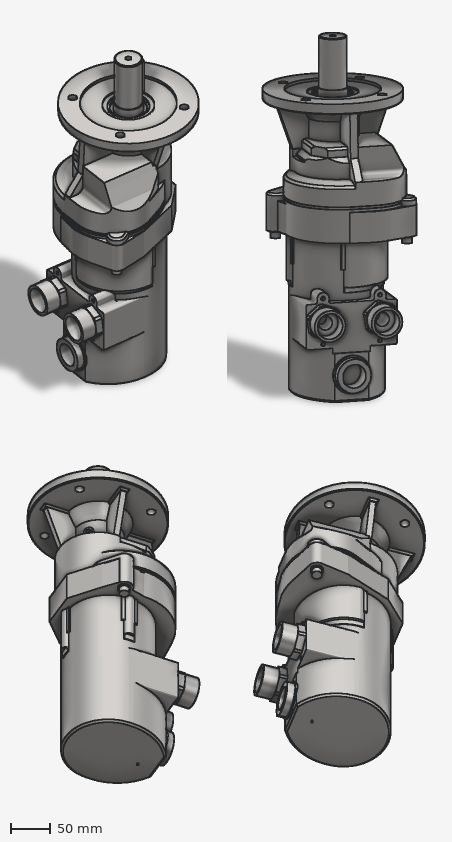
import cadquery as cq
import math


overlap = 4.5

total_height = 462.5
shaft_radius = 18.0
shaft_chamfer = 1.5
center_hole_diameter = 8.0
center_hole_depth = 14.0
key_width = 10.0
key_end_fillet = 4.0
key_bottom = 402.0
key_top = 452.7
key_outer_y = 21.7
flange_diameter = 180.0
flange_radius = flange_diameter / 2
flange_top = 393.0
flange_bottom = 379.0
flange_edge_chamfer = 1.5
flange_hole_diameter = 11.5
flange_hole_offset = 51.0
pilot_diameter = 124.0
pilot_depth = 3.5
seal_bore_diameter = 66.5
seal_bore_depth = 5.5
seal_groove_diameter = 54.0
seal_groove_depth = 7.5
seal_lip_diameter = 48.0
seal_lip_depth = 10.0
shaft_collar_diameter = 39.0
shaft_collar_height = 2.0
circlip_gap_width = 12.0
circlip_gap_end = 27.7

neck_radius = 33.8
neck_cone_bottom = 363.5
neck_cone_radius = 37.5
neck_cone_top_radius = 45.0
neck_blend_bottom = 357.0
rib_width = 8.5
rib_foot_radius = 54.5
rib_foot_z = 318.5
rib_head_radius = 76.0
front_rib_width = 10.0
front_rib_head = 76.8
front_rib_waist = 80.0
front_rib_foot = 101.0
rib_flare = 3.0
rib_flare_chamfer = 2.55
plug_z = 336.0
plug_direction = 135.0
plug_diameter = 13.0
plug_hole_diameter = 6.5
plug_reach = 37.5
plug_hole_depth = 4.5

drum_radius = 55.0
drum_back_top = 318.0
drum_front_top = 309.0
drum_shift = 20.5
wide_drum_radius = 71.5
wide_drum_y = -30.5
wide_drum_edge_z = 284.0
wide_drum_rim_z = 287.5
wide_drum_rim_width = 3.2
wide_drum_top = 291.0
wide_drum_slope_width = 15.0
gear_case_x = 27.0
gear_case_y = -47.0
case_reach = 138.7
gear_case_top = 292.3
groove_bottom = 257.0
groove_top = 260.5
groove_depth = 1.15
gear_box_front = -80.0
gear_box_shoulder = 60.5
gear_box_shoulder_z = 323.3
gear_box_bend = 71.0
gear_box_bend_z = 303.5
gear_box_top = 333.0
gear_box_top_x = 55.5
gear_box_foot_fillet = 10.0
bump_top = 331.0
bump_back = -5.0
bump_front = -68.0
bump_left = -42.5
bump_corner_x = -27.0
bump_corner_y = -47.5
bump_flare_z = 318.5
bump_flare = 7.5
bump_flare_chamfer = 7.0
bump_edge = 3.2

joint_bottom = 213.0
joint_top = 253.5
joint_back = 56.5
joint_back_half_width = 25.5
joint_front_left = (-7.5, -102.0)
joint_front_right = (21.7, -105.5)
joint_corner_middle = (35.0, -104.0)
joint_corner_end = (48.0, -100.5)
joint_lug_front = (81.5, -87.0)
joint_lug_middle = (87.5, -81.5)
joint_lug_back = (89.0, -74.0)
joint_right_waist = (82.0, -36.0)
joint_right_shoulder = (58.0, 26.0)
joint_left_shoulder = (-64.7, 26.0)
joint_left_lug_back = (-83.2, 10.0)
lug_radius = 12.0
lug_top = 263.0
lug_chamfer = 3.0
left_lug = (-76.5, 0.0)
right_lug = (76.5, -76.0)
left_lug_root = (-48.5, 7.0)
right_lug_root = (50.0, -52.5)
lug_root_radius = 23.0
bolt_diameter = 13.0
bolt_bottom = 203.0
washer_diameter = 16.0
washer_thickness = 2.0

motor_y = -15.0
motor_radius = 60.5
motor_bottom = 1.6
motor_edge_chamfer = 3.0
drain_tip_diameter = 2.5
drain_tip_x = 4.5
drain_tip_y = -58.5
bar_radius = 66.0
bar_half_width = 8.0
bar_bottom = 150.0
bar_taper_bottom = 142.5
bar_tip_lower_height = 1.0
bar_tip_upper_height = 2.5
side_strip_radius = 63.0
side_strip_half_width = 11.0
side_strip_bottom = 173.0

block_face = -84.5
block_top = 132.3
block_bottom = 73.0
block_fillet = 3.0
ear_radius = 8.0
ear_back = -55.0
ear_back_fillet = 7.0
ear_root_fillet = 3.2
port_x = 38.0
port_z = 109.0
screw_spacing = 59.5
screw_hole_diameter = 5.0
screw_hole_depth = 9.2
hex_across_flats = 41.5
hex_round_diameter = 46.0
hex_end = -95.3
hex_turn = 20.0
tube_diameter = 41.0
tube_bore = 33.5
tube_passage = 18.0
overall_depth = 206.0
tube_end = flange_radius - overall_depth
pad_half_width = 25.0
pad_flat_half_width = 22.5
pad_face = -86.0
pad_top = 66.0
web_curve_start = -20.5
web_middle_x = 51.5
web_middle_y = -56.0
cable_port_z = 37.5
cable_washer_diameter = 50.0
cable_washer_face = -87.5
cable_boss_diameter = 45.0
cable_bore = 30.5
cable_end = -97.5


def cylinder(x, y, bottom, top, radius):
    """Upright cylinder between two heights."""
    return cq.Workplane("XY", origin=(x, y, bottom)).circle(radius).extrude(top - bottom)


def front_cylinder(x, z, back, front, diameter):
    """Cylinder along -Y, from the back depth to the front depth."""
    return cq.Workplane("XZ", origin=(x, back, z)).circle(diameter / 2).extrude(back - front)


def box(x_min, x_max, y_min, y_max, bottom, top):
    """Box from its six limits."""
    size = (x_max - x_min, y_max - y_min, top - bottom)
    return cq.Workplane("XY").box(*size, centered=False).translate((x_min, y_min, bottom))


def belt(first, first_radius, second, second_radius, bottom, top):
    """Two upright cylinders joined by their outer tangent planes."""
    dx = second[0] - first[0]
    dy = second[1] - first[1]
    direction = math.atan2(dy, dx)
    spread = math.acos((first_radius - second_radius) / math.hypot(dx, dy))

    def tangent_point(center, radius, angle):
        return (center[0] + radius * math.cos(angle), center[1] + radius * math.sin(angle))

    web = (
        cq.Workplane("XY", origin=(0, 0, bottom))
        .polyline([
            tangent_point(first, first_radius, direction + spread),
            tangent_point(second, second_radius, direction + spread),
            tangent_point(second, second_radius, direction - spread),
            tangent_point(first, first_radius, direction - spread),
        ])
        .close()
        .extrude(top - bottom)
    )
    ends = cylinder(*first, bottom, top, first_radius).union(cylinder(*second, bottom, top, second_radius))
    return ends.union(web)


def make_shaft():
    shaft = cylinder(0, 0, flange_bottom, total_height, shaft_radius).faces(">Z").chamfer(shaft_chamfer)
    collar_top = flange_top + shaft_collar_height
    collar = cylinder(0, 0, flange_bottom, collar_top, shaft_collar_diameter / 2)
    key = box(-key_width / 2, key_width / 2, 0, key_outer_y, key_bottom, key_top)
    key = key.edges("|Y").fillet(key_end_fillet)
    hole_bottom = total_height - center_hole_depth
    hole = cylinder(0, 0, hole_bottom, total_height, center_hole_diameter / 2)
    return shaft.union(collar).union(key).cut(hole)


def make_flange():
    flange = cylinder(0, 0, flange_bottom, flange_top, flange_radius)
    flange = flange.faces("<Z").edges().chamfer(flange_edge_chamfer)
    for diameter, depth in (
        (pilot_diameter, pilot_depth),
        (seal_bore_diameter, seal_bore_depth),
        (seal_groove_diameter, seal_groove_depth),
        (seal_lip_diameter, seal_lip_depth),
    ):
        flange = flange.cut(cylinder(0, 0, flange_top - depth, flange_top, diameter / 2))
    gap = box(
        -circlip_gap_width / 2, circlip_gap_width / 2,
        -circlip_gap_end, 0,
        flange_top - seal_groove_depth, flange_top,
    )
    holes = (
        cq.Workplane("XY", origin=(0, 0, flange_bottom))
        .rect(2 * flange_hole_offset, 2 * flange_hole_offset, forConstruction=True)
        .vertices()
        .circle(flange_hole_diameter / 2)
        .extrude(flange_top - flange_bottom)
    )
    return flange.cut(gap).cut(holes)


def make_neck():
    neck = (
        cq.Workplane("XZ")
        .polyline([
            (0, rib_foot_z - overlap),
            (neck_radius, rib_foot_z - overlap),
            (neck_radius, neck_blend_bottom),
            (neck_cone_radius, neck_cone_bottom),
            (neck_cone_top_radius, flange_bottom),
            (0, flange_bottom),
        ])
        .close()
        .revolve(360, (0, 0, 0), (0, 1, 0))
    )

    def plug_cylinder(reach, diameter):
        rod = cq.Workplane("YZ", origin=(0, 0, plug_z)).circle(diameter / 2).extrude(reach)
        return rod.rotate((0, 0, 0), (0, 0, 1), plug_direction)

    plug = plug_cylinder(plug_reach, plug_diameter)
    recess = plug_cylinder(plug_reach, plug_hole_diameter)
    recess = recess.cut(plug_cylinder(plug_reach - plug_hole_depth, plug_diameter))
    return neck.union(plug).cut(recess)


def make_ribs():
    """Three tapering ribs under the flange and a stepped one at the front."""
    profile = [
        (0, rib_foot_z),
        (rib_foot_radius, rib_foot_z),
        (rib_head_radius, flange_bottom),
        (0, flange_bottom),
    ]
    rib = cq.Workplane("XZ").polyline(profile).close().extrude(rib_width / 2, both=True)
    half_flare = rib_width / 2 + rib_flare
    flare_bottom = flange_bottom - rib_flare
    flare = box(0, rib_head_radius + rib_flare, -half_flare, half_flare, flare_bottom, flange_bottom)
    rib = rib.union(flare.faces("<Z").edges().chamfer(rib_flare_chamfer))
    ribs = rib
    for angle in (90, 180):
        ribs = ribs.union(rib.rotate((0, 0, 0), (0, 0, 1), angle))
    front_rib = (
        cq.Workplane("YZ")
        .polyline([
            (0, flange_bottom),
            (-front_rib_head, flange_bottom),
            (-front_rib_waist, rib_foot_z),
            (-front_rib_foot, gear_case_top),
            (-front_rib_foot, wide_drum_top - overlap),
            (0, wide_drum_top - overlap),
        ])
        .close()
        .extrude(front_rib_width)
    )
    front_flare = box(
        -rib_flare, front_rib_width + rib_flare,
        -front_rib_head - rib_flare, 0,
        flare_bottom, flange_bottom,
    )
    front_flare = front_flare.faces("<Z").edges().chamfer(rib_flare_chamfer)
    return ribs.union(front_rib).union(front_flare)


def housing_walls(inset, bottom, top):
    """Wide drum with a wider case at its right, both set in by the same amount."""
    wide_radius = wide_drum_radius - inset
    gear_center = (gear_case_x, gear_case_y)
    wide_drum = cylinder(0, wide_drum_y, bottom, min(top, wide_drum_edge_z), wide_radius)
    gear_case = belt((0, wide_drum_y), wide_radius, gear_center, drum_radius - inset, bottom, top)
    gear_case = gear_case.intersect(box(0, flange_radius, -case_reach, case_reach, bottom, top))
    return wide_drum.union(gear_case)


def make_wide_drum_cap():
    """Shallow cone with a beveled rim closing the wide drum."""
    return (
        cq.Workplane("XZ")
        .polyline([
            (0, groove_top),
            (wide_drum_radius, groove_top),
            (wide_drum_radius, wide_drum_edge_z),
            (wide_drum_radius - wide_drum_rim_width, wide_drum_rim_z),
            (wide_drum_radius - wide_drum_slope_width, wide_drum_top),
            (0, wide_drum_top),
        ])
        .close()
        .revolve(360, (0, 0, 0), (0, 1, 0))
        .translate((0, wide_drum_y, 0))
    )


def make_gear_housing():
    drum = belt((0, 0), drum_radius, (0, -drum_shift), drum_radius, joint_bottom, drum_back_top)
    drum = drum.cut(box(-drum_radius, 0, -flange_radius, bump_back, drum_front_top, drum_back_top))
    walls = housing_walls(0, joint_bottom, gear_case_top)
    groove = housing_walls(0, groove_bottom, groove_top)
    groove = groove.cut(housing_walls(groove_depth, groove_bottom, groove_top))
    walls = walls.cut(groove)

    gear_box = (
        cq.Workplane("XZ")
        .polyline([
            (front_rib_width, gear_case_top - overlap),
            (gear_case_x + drum_radius, gear_case_top - overlap),
            (gear_case_x + drum_radius, gear_case_top),
            (gear_box_bend, gear_box_bend_z),
            (gear_box_shoulder, gear_box_shoulder_z),
            (gear_box_top_x, gear_box_top),
            (front_rib_width, gear_box_top),
        ])
        .close()
        .extrude(-gear_box_front)
    )
    foot = (
        cq.Workplane("YZ", origin=(front_rib_width, 0, 0))
        .moveTo(gear_box_front, gear_case_top - overlap)
        .lineTo(gear_box_front - gear_box_foot_fillet, gear_case_top - overlap)
        .lineTo(gear_box_front - gear_box_foot_fillet, gear_case_top)
        .radiusArc((gear_box_front, gear_case_top + gear_box_foot_fillet), -gear_box_foot_fillet)
        .close()
        .extrude(gear_case_x + drum_radius)
    )
    gear_center = (gear_case_x, gear_case_y)
    footprint = belt((0, 0), drum_radius, gear_center, drum_radius, gear_case_top - overlap, gear_box_top)
    gear_box = gear_box.union(foot).intersect(footprint)
    return drum.union(walls).union(make_wide_drum_cap()).union(gear_box)


def make_bump():
    """Faceted cover on top of the drum, with a flared foot."""
    def outline(bottom):
        return (
            cq.Workplane("XY", origin=(0, 0, bottom))
            .polyline([
                (0, bump_back),
                (bump_left, bump_back),
                (bump_left, bump_corner_y),
                (bump_corner_x, bump_front),
                (0, bump_front),
            ])
            .close()
        )

    cover = outline(drum_front_top - overlap).extrude(bump_top - drum_front_top + overlap)
    cover = cover.faces(">Z").edges("<X or <Y").chamfer(bump_edge)
    flare = outline(drum_front_top).offset2D(bump_flare).extrude(bump_flare_z - drum_front_top)
    flare = flare.faces(">Z").edges().chamfer(bump_flare_chamfer)
    within_drum = belt((0, 0), drum_radius, (0, -drum_shift), drum_radius, drum_front_top, bump_top)
    left_of_rib = box(-flange_radius, 0, -flange_radius, 0, drum_front_top, bump_top)
    flare = flare.intersect(within_drum).intersect(left_of_rib)
    return cover.union(flare)


def make_joint():
    """Flanged joint with two bolt lugs."""
    height = joint_top - joint_bottom
    joint = (
        cq.Workplane("XY", origin=(0, 0, joint_bottom))
        .moveTo(*joint_front_left)
        .lineTo(*joint_front_right)
        .threePointArc(joint_corner_middle, joint_corner_end)
        .lineTo(*joint_lug_front)
        .threePointArc(joint_lug_middle, joint_lug_back)
        .lineTo(*joint_right_waist)
        .lineTo(*joint_right_shoulder)
        .lineTo(joint_back_half_width, joint_back)
        .lineTo(-joint_back_half_width, joint_back)
        .lineTo(*joint_left_shoulder)
        .lineTo(*joint_left_lug_back)
        .lineTo(-wide_drum_radius, wide_drum_y)
        .close()
        .extrude(height)
    )
    for lug, root in ((left_lug, left_lug_root), (right_lug, right_lug_root)):
        arm = belt(lug, lug_radius, root, lug_root_radius, joint_bottom, lug_top)
        joint = joint.union(arm.faces(">Z").edges().chamfer(lug_chamfer))
        joint = joint.union(cylinder(*lug, bolt_bottom, joint_bottom, bolt_diameter / 2))
        washer_bottom = joint_bottom - washer_thickness
        joint = joint.union(cylinder(*lug, washer_bottom, joint_bottom, washer_diameter / 2))
    return joint


def make_motor():
    body = cylinder(0, motor_y, motor_bottom, joint_bottom, motor_radius)
    web = (
        cq.Workplane("XY", origin=(0, 0, motor_bottom))
        .moveTo(-motor_radius, motor_y)
        .lineTo(-motor_radius, web_curve_start)
        .threePointArc((-web_middle_x, web_middle_y), (-pad_half_width, block_face))
        .lineTo(pad_half_width, block_face)
        .threePointArc((web_middle_x, web_middle_y), (motor_radius, web_curve_start))
        .lineTo(motor_radius, motor_y)
        .close()
        .extrude(block_bottom + overlap - motor_bottom)
    )
    pad = (
        cq.Workplane("XY", origin=(0, 0, motor_bottom))
        .polyline([
            (-pad_half_width, block_face),
            (-pad_flat_half_width, pad_face),
            (pad_flat_half_width, pad_face),
            (pad_half_width, block_face),
        ])
        .close()
        .extrude(pad_top - motor_bottom)
    )
    body = body.union(web).union(pad)
    body = body.faces("<Z").edges().chamfer(motor_edge_chamfer)
    tip = cylinder(drain_tip_x, drain_tip_y, 0, motor_bottom, drain_tip_diameter / 2)
    return body.union(tip)


def make_motor_bars():
    """Four rounded bars with flat strips around the motor; one quarter is filled between two bars."""
    rod_offset = bar_radius - bar_half_width
    rods = (
        cq.Workplane("XY", origin=(0, motor_y, bar_taper_bottom))
        .polarArray(rod_offset, 0, 360, 4)
        .circle(bar_half_width)
        .extrude(joint_bottom - bar_taper_bottom)
    )
    quarter = cylinder(0, motor_y, bar_taper_bottom, joint_bottom, bar_radius)
    quarter = quarter.intersect(
        box(0, flange_radius, motor_y - flange_radius, motor_y, bar_taper_bottom, joint_bottom)
    )
    bars = rods.union(quarter)

    strip_height = joint_bottom - side_strip_bottom
    strip_plane = cq.Workplane("XY", origin=(0, motor_y, side_strip_bottom))
    across = 2 * flange_radius
    width = 2 * side_strip_half_width
    strips = strip_plane.rect(width, across).extrude(strip_height)
    strips = strips.union(strip_plane.rect(across, width).extrude(strip_height))
    strips = strips.intersect(cylinder(0, motor_y, side_strip_bottom, joint_bottom, side_strip_radius))

    height = bar_bottom - bar_taper_bottom
    taper = (
        cq.Workplane("XY", origin=(0, motor_y, bar_taper_bottom))
        .circle(motor_radius + bar_tip_lower_height)
        .workplane(offset=height)
        .circle(motor_radius + bar_tip_upper_height)
        .loft()
    )
    limit = taper.union(cylinder(0, motor_y, bar_bottom, joint_bottom, bar_radius))
    return bars.intersect(limit).union(strips)


def make_port_block():
    block = box(-motor_radius, motor_radius, block_face, motor_y, block_bottom, block_top)
    block = block.edges("|Y").fillet(block_fillet)
    center = box(-pad_half_width, pad_half_width, block_face, motor_y, pad_top, block_bottom)
    block = block.union(center)
    ear_center_z = port_z + screw_spacing / 2
    ear_top = ear_center_z + ear_radius
    ear_side = (
        cq.Workplane("YZ", origin=(-motor_radius, 0, 0))
        .moveTo(block_face, block_top - overlap)
        .lineTo(ear_back, block_top - overlap)
        .lineTo(ear_back, ear_top - ear_back_fillet)
        .radiusArc((ear_back - ear_back_fillet, ear_top), -ear_back_fillet)
        .lineTo(block_face, ear_top)
        .close()
        .extrude(2 * motor_radius)
    )
    root_half_width = ear_radius + ear_root_fillet
    for x in (-port_x, port_x):
        ear = (
            cq.Workplane("XZ", origin=(x, ear_back, 0))
            .moveTo(-root_half_width, block_top - overlap)
            .lineTo(-root_half_width, block_top)
            .radiusArc((-ear_radius, block_top + ear_root_fillet), -ear_root_fillet)
            .lineTo(-ear_radius, ear_center_z)
            .threePointArc((0, ear_top), (ear_radius, ear_center_z))
            .lineTo(ear_radius, block_top + ear_root_fillet)
            .radiusArc((root_half_width, block_top), -ear_root_fillet)
            .lineTo(root_half_width, block_top - overlap)
            .close()
            .extrude(ear_back - block_face)
        )
        block = block.union(ear.intersect(ear_side))
    for x in (-port_x, port_x):
        for side in (-1, 1):
            z = port_z + side * screw_spacing / 2
            depth_end = block_face + screw_hole_depth
            block = block.cut(front_cylinder(x, z, depth_end, block_face, screw_hole_diameter))
    return block


def make_fluid_port(x):
    """Hexagonal fitting with an open tube."""
    across_corners = hex_across_flats / math.cos(math.pi / 6)
    nut = (
        cq.Workplane("XZ", origin=(0, block_face, 0))
        .polygon(6, across_corners)
        .extrude(block_face - hex_end)
        .rotate((0, 0, 0), (0, 1, 0), hex_turn)
        .translate((x, 0, port_z))
    )
    nut = nut.intersect(front_cylinder(x, port_z, block_face, hex_end, hex_round_diameter))
    tube = front_cylinder(x, port_z, block_face, tube_end, tube_diameter)
    return nut.union(tube)


def cut_fluid_port(part, x):
    """Bore the tube, then drill through the block as far as the motor wall."""
    bore = front_cylinder(x, port_z, hex_end, tube_end, tube_bore)
    passage = front_cylinder(x, port_z, motor_y, hex_end, tube_passage)
    passage = passage.cut(cylinder(0, motor_y, motor_bottom, joint_bottom, motor_radius))
    return part.cut(bore).cut(passage)


def make_cable_port():
    washer = front_cylinder(0, cable_port_z, block_face, cable_washer_face, cable_washer_diameter)
    boss = front_cylinder(0, cable_port_z, block_face, cable_end, cable_boss_diameter)
    return washer.union(boss)


def cut_cable_port(part):
    """Bore the cable port as far as the motor wall."""
    bore = front_cylinder(0, cable_port_z, motor_y, cable_end, cable_bore)
    return part.cut(bore.cut(cylinder(0, motor_y, motor_bottom, joint_bottom, motor_radius)))


result = make_motor().union(make_motor_bars()).union(make_port_block())
for port_side in (-port_x, port_x):
    result = result.union(make_fluid_port(port_side))
    result = cut_fluid_port(result, port_side)
result = cut_cable_port(result.union(make_cable_port()))
result = result.union(make_joint()).union(make_gear_housing()).union(make_bump())
result = result.union(make_neck()).union(make_ribs())
result = result.union(make_flange()).union(make_shaft())